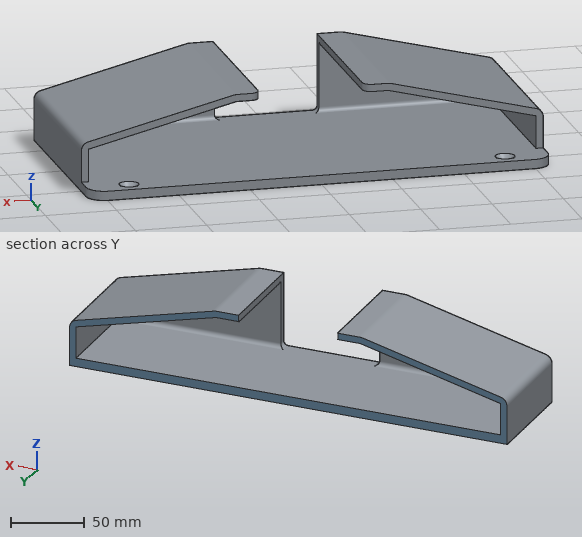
import cadquery as cq
import math

length = 323.85
width = 152.4
height = 60.45
half_length = length / 2
front_y = -width / 2

base_thickness = 6.6
base_corner_radius = 12.7
ledge_depth = 25.4
ramp_depth = width - ledge_depth
ramp_back_y = front_y + ramp_depth

channel_width = 73.0
half_channel = channel_width / 2
slope_angle = 14.0
crest_x = 54.0
crest_radius = 12.7
shoulder_radius = 6.35
ramp_inner_corner_radius = 6.35
slope_rise = (half_length - crest_x) * math.tan(math.radians(slope_angle))
shoulder_height = height - slope_rise

roof_thickness = 5.08
wall_thickness = 5.08
wall_foot_fillet = 3.175

hole_spacing = 263.6
hole_y = width / 2 - ledge_depth / 2
hole_diameter = 6.6
sink_diameter = 13.5
sink_angle = 82


def make_base():
    """Flat plate with rounded back corners."""
    plate = cq.Workplane("XY").box(length, width, base_thickness, centered=(True, True, False))
    return plate.edges("|Z and >Y").fillet(base_corner_radius)


def make_ramp_block():
    """Solid outside shape of the right-hand ramp."""
    profile = [
        (half_channel, 0),
        (half_length, 0),
        (half_length, shoulder_height),
        (crest_x, height),
        (half_channel, height),
    ]
    block = cq.Workplane("XZ", origin=(0, ramp_back_y, 0)).polyline(profile).close().extrude(ramp_depth)
    middle_y = (front_y + ramp_back_y) / 2
    shoulder_edge = cq.NearestToPointSelector((half_length, middle_y, shoulder_height))
    block = block.edges(shoulder_edge).fillet(shoulder_radius)
    crest_edge = cq.NearestToPointSelector((crest_x, middle_y, height))
    block = block.edges(crest_edge).fillet(crest_radius)
    return block.edges("|Z and <X and >Y").fillet(ramp_inner_corner_radius)


def make_hollow():
    """Space between plate, roof, front wall and outer wall of the right-hand ramp."""
    roof_drop = roof_thickness / math.cos(math.radians(slope_angle))
    crest_shift = roof_thickness * math.tan(math.radians(slope_angle / 2))
    inner_crest_x = crest_x - crest_shift
    outer_x = half_length - wall_thickness
    outer_height = shoulder_height + wall_thickness * math.tan(math.radians(slope_angle)) - roof_drop
    profile = [
        (0, base_thickness),
        (outer_x, base_thickness),
        (outer_x, outer_height),
        (inner_crest_x, height - roof_thickness),
        (0, height - roof_thickness),
    ]
    hollow_depth = ramp_depth - wall_thickness
    return cq.Workplane("XZ", origin=(0, ramp_back_y, 0)).polyline(profile).close().extrude(hollow_depth)


def mirrored_pair(half):
    """The right-hand shape together with its left-hand mirror image."""
    return half.union(half.mirror("YZ"))


def fillet_wall_foot(body):
    """Round the foot of both front walls, along the channel side and the inside face."""
    wall_back_y = front_y + wall_thickness
    wall_middle_y = front_y + wall_thickness / 2
    wall_middle_x = (half_channel + half_length - wall_thickness) / 2
    for side in (-1, 1):
        end_edge = cq.NearestToPointSelector((side * half_channel, wall_middle_y, base_thickness))
        inside_edge = cq.NearestToPointSelector((side * wall_middle_x, wall_back_y, base_thickness))
        body = body.edges(cq.selectors.SumSelector(end_edge, inside_edge)).fillet(wall_foot_fillet)
    return body


def drill_mounting_holes(body):
    """Countersunk holes through the ledge."""
    top = cq.Workplane("XY", origin=(0, hole_y, base_thickness))
    drilled = body.copyWorkplane(top).pushPoints([(-hole_spacing / 2, 0), (hole_spacing / 2, 0)])
    return drilled.cskHole(hole_diameter, sink_diameter, sink_angle)


ramp = make_ramp_block().cut(make_hollow())
body = make_base().union(mirrored_pair(ramp))
body = fillet_wall_foot(body)
result = drill_mounting_holes(body)